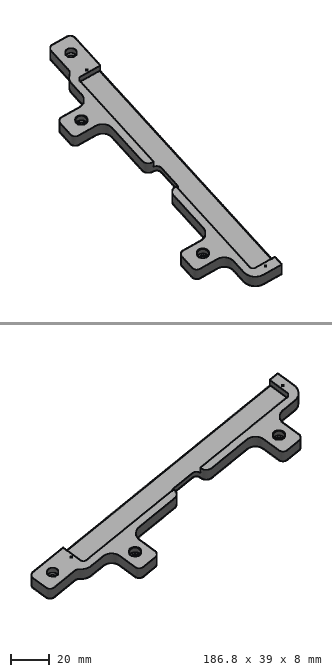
import cadquery as cq
import math

length = 186.8
thickness = 8.0
body_depth = 19.0
total_depth = 39.0

ear_depth = 15.1
corner_radius = 3.0
blend_start_x = 18.7
blend_inner_radius = 3.0
blend_outer_radius = 7.0

tab_width = 15.0
tab_centers_x = (49.1, 157.1)
tab_root_radius = 6.0
end_radius = 7.5

notch_left = 93.2
notch_width = 20.0
notch_depth = 7.3
notch_mouth_radius = 4.0
notch_inner_radius = 3.0

recess_left = 25.6
recess_right = 180.7
recess_depth_y = 14.5
recess_floor_z = 4.0
recess_corner_radius = 2.0
back_chamfer = 0.5

ear_hole_center = (9.9, -7.5)
tab_hole_y = -29.0
bore_diameter = 3.0
counterbore_diameter = 6.0
counterbore_depth = 4.0
rim_chamfer = 0.28
pin_hole_diameter = 1.0
pin_hole_centers = ((24.0, -7.5), (182.7, -7.5))


def block(x_min, x_max, y_min, y_max, height=thickness):
    """Rectangular block standing on Z = 0."""
    return cq.Workplane("XY").box(x_max - x_min, y_max - y_min, height, centered=False).translate(
        (x_min, y_min, 0)
    )


def cylinder(center, diameter, z_min=0.0, z_max=thickness):
    """Vertical cylinder between two heights."""
    return cq.Workplane("XY", origin=(*center, z_min)).circle(diameter / 2).extrude(z_max - z_min)


def fillet_at(solid, points, radius):
    """Round the vertical edges that pass through the given XY points."""
    reach = 0.1
    for x, y in points:
        edge = cq.selectors.BoxSelector(
            (x - reach, y - reach, 0), (x + reach, y + reach, thickness)
        )
        solid = solid.edges("|Z").edges(edge).fillet(radius)
    return solid


def make_body():
    """Bar with the ear at its left end and the tangent blend between them."""
    radius_sum = blend_inner_radius + blend_outer_radius
    angle = math.acos(1 - (body_depth - ear_depth) / radius_sum)
    blend_end_x = blend_start_x + radius_sum * math.sin(angle)

    def inner_point(a):
        return (
            blend_start_x + blend_inner_radius * math.sin(a),
            -ear_depth - blend_inner_radius * (1 - math.cos(a)),
        )

    def outer_point(a):
        return (
            blend_end_x - blend_outer_radius * math.sin(a),
            -body_depth + blend_outer_radius * (1 - math.cos(a)),
        )

    outline = (
        cq.Workplane("XY")
        .moveTo(0, 0)
        .lineTo(0, -ear_depth)
        .lineTo(blend_start_x, -ear_depth)
        .threePointArc(inner_point(angle / 2), inner_point(angle))
        .threePointArc(outer_point(angle / 2), (blend_end_x, -body_depth))
        .lineTo(length, -body_depth)
        .lineTo(length, 0)
        .close()
    )
    body = outline.extrude(thickness)
    body = fillet_at(body, [(0, 0), (0, -ear_depth)], corner_radius)
    return fillet_at(body, [(length, -body_depth)], end_radius)


def add_tab(body, center_x):
    """Add one screw tab with rounded tips and roots."""
    sides = (center_x - tab_width / 2, center_x + tab_width / 2)
    body = body.union(block(*sides, -total_depth, -body_depth / 2))
    body = fillet_at(body, [(x, -total_depth) for x in sides], corner_radius)
    return fillet_at(body, [(x, -body_depth) for x in sides], tab_root_radius)


def cut_notch(body):
    """Cut the notch in the front edge, rounded at its mouth and inner corners."""
    sides = (notch_left, notch_left + notch_width)
    notch_back = notch_depth - body_depth
    body = body.cut(block(*sides, -body_depth, notch_back))
    body = fillet_at(body, [(x, -body_depth) for x in sides], notch_mouth_radius)
    return fillet_at(body, [(x, notch_back) for x in sides], notch_inner_radius)


def cut_recess(body):
    """Sink the open recess and chamfer the back edge of its floor."""
    recess = block(recess_left, recess_right, -recess_depth_y, 0)
    corners = [(x, -recess_depth_y) for x in (recess_left, recess_right)]
    recess = fillet_at(recess, corners, recess_corner_radius)
    body = body.cut(recess.translate((0, 0, recess_floor_z)))
    chamfer = (
        cq.Workplane("YZ", origin=(recess_left, 0, 0))
        .moveTo(0, recess_floor_z)
        .lineTo(-back_chamfer, recess_floor_z)
        .lineTo(0, recess_floor_z - back_chamfer)
        .close()
        .extrude(recess_right - recess_left)
    )
    return body.cut(chamfer)


def cut_screw_hole(body, center):
    """Cut a through bore with a counterbore from the top."""
    body = body.cut(cylinder(center, bore_diameter))
    return body.cut(cylinder(center, counterbore_diameter, thickness - counterbore_depth))


def cut_rim_chamfer(body, center, diameter, rim_z):
    """Chamfer the upper rim of a round hole at the given height."""
    cone = (
        cq.Workplane("XY", origin=(*center, rim_z))
        .circle(diameter / 2 + rim_chamfer)
        .workplane(offset=-rim_chamfer)
        .circle(diameter / 2)
        .loft()
    )
    return body.cut(cone)


result = make_body()
for tab_x in tab_centers_x:
    result = add_tab(result, tab_x)
result = cut_notch(result)
result = cut_recess(result)
result = cut_screw_hole(result, ear_hole_center)
for tab_x in tab_centers_x:
    tab_hole_center = (tab_x, tab_hole_y)
    result = cut_screw_hole(result, tab_hole_center)
    result = cut_rim_chamfer(result, tab_hole_center, counterbore_diameter, thickness)
    result = cut_rim_chamfer(result, tab_hole_center, bore_diameter, thickness - counterbore_depth)
for pin_center in pin_hole_centers:
    result = result.cut(cylinder(pin_center, pin_hole_diameter))